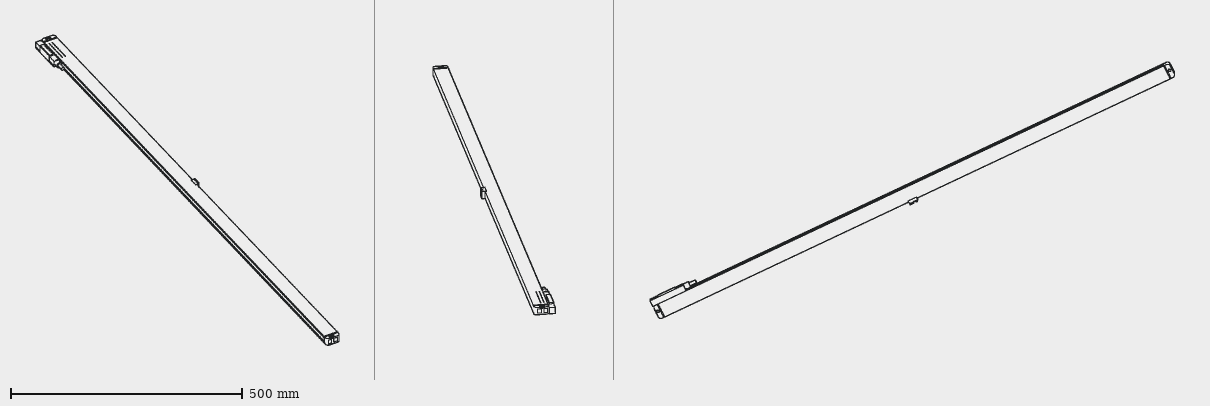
import cadquery as cq

LENGTH = 1245.0
DEPTH = 54.0
HEIGHT = 18.0
X_MIN = -LENGTH / 2
X_MAX = LENGTH / 2
Y_MIN = -DEPTH / 2
Y_MAX = DEPTH / 2
Z_MIN = -HEIGHT / 2
Z_MAX = HEIGHT / 2

BAR_BACK = 20.0
BAR_FRONT = -13.0
BAR_END_INSET = 13.0
BAR_LENGTH = LENGTH - 2 * BAR_END_INSET
SLOT_HEIGHT = 10.0
SLOT_DEPTH = 0.8
GASKET_INSET = 0.6

END_BLOCK_LENGTH = 10.5
END_BLOCK_CORNER = 6.5
MOUNT_HOLE_DIAMETER = 6.0
MOUNT_HOLE_INSET = 5.5
MOUNT_HOLE_Y = 2.0
COUNTERBORE_DIAMETER = 11.0
COUNTERBORE_DEPTH = 3.0
POCKET_CENTRES_Y = (8.5, -6.0)
POCKET_WIDTH = 9.0
POCKET_HEIGHT = 10.0
POCKET_DEPTH = 0.5

GROOVE_LENGTH = 26.0
GROOVE_WIDTH = 0.8
GROOVE_DEPTH = 0.4
GROOVE_CENTRES_X = (-587.0, -556.0)
GROOVE_ROWS_Y = (2.0, -5.5)

CLIP_LENGTH = 20.0
CLIP_LEFT = -21.5
CLIP_BACK = 24.0
CLIP_OVERLAP = 3.0
CLIP_HOOK_DEPTH = 0.5
CLIP_PADS = ((CLIP_LEFT, 10.0), (-7.0, 3.5))

HEAD_LENGTH = 80.5
HEAD_FRONT = -26.5
HEAD_TOP = 6.0
FLANGE_THICKNESS = 3.0
HEAD_CENTRE_LEFT = X_MIN + 19.0
HEAD_CENTRE_LENGTH = 41.0
HEAD_CENTRE_BACK = -17.0
HEAD_CENTRE_CHAMFER = 1.2

CABLE_EXIT_LENGTH = 27.0
CABLE_EXIT_DIAMETER = 7.5
CABLE_EXIT_Y = -20.0
CABLE_EXIT_Z = 1.2
COLLAR_LENGTH = 12.0
COLLAR_DIAMETER = 13.5


def box(x, y, z):
    """Box given by its (low, high) range along each axis."""
    size = [high - low for low, high in (x, y, z)]
    return cq.Workplane("XY").box(*size, centered=False).translate((x[0], y[0], z[0]))


def span(centre, size):
    """Range of a given size about a centre."""
    return centre - size / 2, centre + size / 2


def rod(x_start, diameter, length):
    """Round bar along +X on the cable axis."""
    plane = cq.Workplane("YZ", origin=(x_start, CABLE_EXIT_Y, CABLE_EXIT_Z))
    return plane.circle(diameter / 2).extrude(length)


def make_bar():
    bar_x = span(0, BAR_LENGTH)
    bar = box(bar_x, (BAR_FRONT, BAR_BACK), (Z_MIN, Z_MAX))
    bar = bar.cut(box(bar_x, (BAR_FRONT, BAR_FRONT + SLOT_DEPTH), span(0, SLOT_HEIGHT)))
    for x in GROOVE_CENTRES_X:
        for y in GROOVE_ROWS_Y:
            groove = box(span(x, GROOVE_LENGTH), span(y, GROOVE_WIDTH), (Z_MAX - GROOVE_DEPTH, Z_MAX))
            bar = bar.cut(groove)
    return bar


def make_left_end():
    """Gasket and end block for the left end of the bar."""
    block_x = (X_MIN, X_MIN + END_BLOCK_LENGTH)
    block = box(block_x, (BAR_FRONT, BAR_BACK), (Z_MIN, Z_MAX))
    block = block.edges("|Z and <X").fillet(END_BLOCK_CORNER)
    block = (
        block.faces(">Z")
        .workplane(origin=(X_MIN + MOUNT_HOLE_INSET, MOUNT_HOLE_Y, Z_MAX))
        .cboreHole(MOUNT_HOLE_DIAMETER, COUNTERBORE_DIAMETER, COUNTERBORE_DEPTH)
    )
    for y in POCKET_CENTRES_Y:
        pocket = box((X_MIN, X_MIN + POCKET_DEPTH), span(y, POCKET_WIDTH), span(0, POCKET_HEIGHT))
        block = block.cut(pocket)
    gasket = box(
        (block_x[1], X_MIN + BAR_END_INSET),
        (BAR_FRONT, BAR_BACK),
        span(0, HEIGHT - 2 * GASKET_INSET),
    )
    return block.union(gasket)


def make_clip():
    """Clip on the back of the bar, hooked over its top and bottom edges."""
    clip_x = (CLIP_LEFT, CLIP_LEFT + CLIP_LENGTH)
    clip = box(clip_x, (BAR_BACK, CLIP_BACK), span(0, HEIGHT - 2 * CLIP_HOOK_DEPTH))
    for left, length in CLIP_PADS:
        clip = clip.union(box((left, left + length), (CLIP_BACK, Y_MAX), (Z_MIN, Z_MAX)))
    return clip


def make_clip_seat():
    """Material removed from the top and bottom of the bar under the clip hooks."""
    seat_x = (CLIP_LEFT, CLIP_LEFT + CLIP_LENGTH)
    seat_y = (BAR_BACK - CLIP_OVERLAP, BAR_BACK)
    top = box(seat_x, seat_y, (Z_MAX - CLIP_HOOK_DEPTH, Z_MAX))
    return top.union(top.mirror("XY"))


def make_housing():
    left_end = make_left_end()
    right_end = left_end.mirror("YZ")
    bar = make_bar().cut(make_clip_seat())
    return bar.union(left_end).union(right_end).union(make_clip())


def make_head():
    head_x = (X_MIN, X_MIN + HEAD_LENGTH)
    centre_x = (HEAD_CENTRE_LEFT, HEAD_CENTRE_LEFT + HEAD_CENTRE_LENGTH)
    head = box(head_x, (HEAD_FRONT, BAR_FRONT), (Z_MIN, HEAD_TOP))
    flange = box(head_x, (Y_MIN, HEAD_FRONT), (Z_MIN, Z_MIN + FLANGE_THICKNESS))
    centre = box(centre_x, (Y_MIN, HEAD_CENTRE_BACK), (Z_MIN, Z_MAX))
    centre = centre.edges(">Z and <Y").chamfer(HEAD_CENTRE_CHAMFER)
    collar = rod(head_x[1], COLLAR_DIAMETER, COLLAR_LENGTH)
    cable_exit = rod(head_x[1], CABLE_EXIT_DIAMETER, CABLE_EXIT_LENGTH)
    return head.union(flange).union(centre).union(collar).union(cable_exit)


housing = make_housing()
head = make_head()
result = cq.Compound.makeCompound([housing.val(), head.val()])